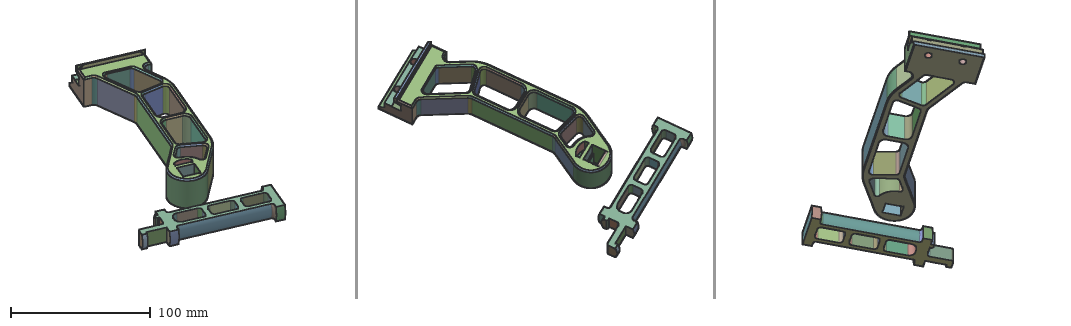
import cadquery as cq
import math

BEND_ANGLE = 30.0
SIN = math.sin(math.radians(BEND_ANGLE))
COS = math.cos(math.radians(BEND_ANGLE))

FRAME_HEIGHT = 25.5
TOP_CHAMFER = 1.3
BOTTOM_CHAMFER = 0.6

SPAN_CENTRE_X = 93.8
SPAN_TOP_Y = 31.3
SPAN_BOTTOM_Y = 0.8
UPPER_BEND_RADIUS = 27.5
LOWER_BEND_RADIUS = 5.5

HEAD_X = 157.8
HEAD_Y = 0.8
HEAD_RADIUS = 15.0

WALL = 4.5
RIB = 3.5
WINDOW_RADIUS = 3.0
RIB_WINDOW_RADIUS = 4.6
HEAD_WINDOW_RADIUS = 2.1
PLATE_FILLET = 3.8

PLATE_HALF_WIDTH = 26.2
PLATE_RIGHT_X = 27.5
FIRST_WINDOW_X = 26.8
GROOVE_WALL_X = 18.2
LEDGE_X = 10.5
SEAT_X = 4.9
SEAT_HEIGHT = 13.3
LEDGE_DROP = 0.5
TOE_HEIGHT = 3.5
TOE_TOP = 7.0
HOOK_LEFT_X = 12.5
HOOK_TIP_X = 15.0
HOOK_RIGHT_X = 16.0
HOOK_TOP = 29.0
HOOK_SHOULDER = 26.8
HOOK_UNDERSIDE = 22.2
GROOVE_TOP = 20.3
SCREW_HOLE_DIAMETER = 5.0
SCREW_HOLE_X = 7.8
SCREW_HOLES_Y = 0.8
SCREW_HOLE_HALF_PITCH = 12.7

OPENING_HALF_WIDTH = 6.8
SLOT_ARC_RADIUS = 10.8
SLOT_RIGHT_X = 152.3
SQUARE_LEFT_X = 155.3
SQUARE_LEDGE = 1.3
SQUARE_RIGHT_X = 165.7
SQUARE_LIP_RADIUS = 2.1
OPENING_DEPTH = 12.7

CLIP_X = 196.5
CLIP_HEIGHT = 12.9
CLIP_TOP_Y = 55.4
UPPER_FLANGE_BOTTOM_Y = 48.4
LOWER_FLANGE_TOP_Y = -26.8
LOWER_FLANGE_BOTTOM_Y = -33.8
FLANGE_LEFT_X = 182.1
FLANGE_RIGHT_X = 211.3
FLANGE_BULGE = 1.0
SHANK_HALF_WIDTH = 10.5
SHANK_BULGE = 1.7
SHANK_FILLET = 2.0
CLIP_WINDOW_HALF_WIDTH = 5.7
CLIP_WINDOW_RADIUS = 2.5
CLIP_WINDOW_END_RADIUS = 4.6
CLIP_WINDOWS = [
    (28.0, 48.8, CLIP_WINDOW_RADIUS),
    (2.5, 23.5, CLIP_WINDOW_RADIUS),
    (-25.0, -2.0, CLIP_WINDOW_END_RADIUS),
]
KNOB_RIGHT_X = 191.0
KNOB_BOTTOM_Y = -36.3
KNOB_CHAMFER = 1.0
LEG_LEFT_X = 199.5
LEG_RIGHT_X = 204.5
LEG_ROOT_FILLET = 2.1
LEG_CORNER_FILLET = 1.7
FOOT_TOP_Y = -49.7
FOOT_BOTTOM_Y = -53.7
FOOT_RIGHT_X = 208.1


EDGE_REACH = 0.1


def offset(line, distance):
    """The parallel line that lies `distance` to the left of the line's direction."""
    (x, y), (dx, dy) = line
    length = math.hypot(dx, dy)
    return ((x - dy / length * distance, y + dx / length * distance), (dx, dy))


def meet(first, second):
    """The point where two lines cross."""
    (x1, y1), (dx1, dy1) = first
    (x2, y2), (dx2, dy2) = second
    t = ((x2 - x1) * dy2 - (y2 - y1) * dx2) / (dx1 * dy2 - dy1 * dx2)
    return (x1 + t * dx1, y1 + t * dy1)


def mirrored(line):
    """The line reflected in the middle of the span."""
    (x, y), (dx, dy) = line
    return ((2 * SPAN_CENTRE_X - x, y), (-dx, dy))


TOP_LINE = ((0, SPAN_TOP_Y), (1, 0))
BOTTOM_LINE = ((0, SPAN_BOTTOM_Y), (1, 0))
HEAD_UPPER_TANGENT = (HEAD_X + HEAD_RADIUS * SIN, HEAD_Y + HEAD_RADIUS * COS)
HEAD_LOWER_TANGENT = (HEAD_X - HEAD_RADIUS * SIN, HEAD_Y - HEAD_RADIUS * COS)
RIGHT_UPPER_LINE = (HEAD_UPPER_TANGENT, (COS, -SIN))
RIGHT_LOWER_LINE = (HEAD_LOWER_TANGENT, (COS, -SIN))
LEFT_UPPER_LINE = mirrored(RIGHT_UPPER_LINE)
LEFT_LOWER_LINE = mirrored(RIGHT_LOWER_LINE)

UPPER_RIGHT_BEND = meet(TOP_LINE, RIGHT_UPPER_LINE)
LOWER_RIGHT_BEND = meet(BOTTOM_LINE, RIGHT_LOWER_LINE)
UPPER_LEFT_BEND = meet(TOP_LINE, LEFT_UPPER_LINE)
LOWER_LEFT_BEND = meet(BOTTOM_LINE, LEFT_LOWER_LINE)


def vertical_line(x):
    return ((x, 0), (0, 1))


def fillet_at(solid, points, radius):
    """Round the upright edges that stand on the given plan points."""
    for x, y in points:
        near = cq.selectors.BoxSelector(
            (x - EDGE_REACH, y - EDGE_REACH, 0), (x + EDGE_REACH, y + EDGE_REACH, FRAME_HEIGHT)
        )
        solid = solid.edges("|Z").edges(near).fillet(radius)
    return solid


def box_between(x_range, y_range, z_range):
    (x0, x1), (y0, y1), (z0, z1) = x_range, y_range, z_range
    return cq.Workplane("XY").box(x1 - x0, y1 - y0, z1 - z0, centered=False).translate((x0, y0, z0))


def frame_blank():
    """Arm outline and the thick part of the plate, before the windows are cut."""
    upper_root = meet(LEFT_UPPER_LINE, vertical_line(PLATE_RIGHT_X))
    lower_root = meet(LEFT_LOWER_LINE, vertical_line(PLATE_RIGHT_X))
    blank = (
        cq.Workplane("XY")
        .moveTo(GROOVE_WALL_X, -PLATE_HALF_WIDTH)
        .lineTo(PLATE_RIGHT_X, -PLATE_HALF_WIDTH)
        .lineTo(*lower_root)
        .lineTo(*LOWER_LEFT_BEND)
        .lineTo(*LOWER_RIGHT_BEND)
        .lineTo(*HEAD_LOWER_TANGENT)
        .threePointArc((HEAD_X + HEAD_RADIUS * COS, HEAD_Y - HEAD_RADIUS * SIN), HEAD_UPPER_TANGENT)
        .lineTo(*UPPER_RIGHT_BEND)
        .lineTo(*UPPER_LEFT_BEND)
        .lineTo(*upper_root)
        .lineTo(PLATE_RIGHT_X, PLATE_HALF_WIDTH)
        .lineTo(GROOVE_WALL_X, PLATE_HALF_WIDTH)
        .close()
        .extrude(FRAME_HEIGHT)
    )
    blank = fillet_at(blank, [upper_root, lower_root], PLATE_FILLET)
    blank = fillet_at(blank, [LOWER_LEFT_BEND, LOWER_RIGHT_BEND], LOWER_BEND_RADIUS)
    return fillet_at(blank, [UPPER_LEFT_BEND, UPPER_RIGHT_BEND], UPPER_BEND_RADIUS)


def window_prism(corners):
    return cq.Workplane("XY").polyline(corners).close().extrude(FRAME_HEIGHT)


def frame_windows():
    """The four through windows of the arm, each a prism to be cut out."""
    inner_top = offset(TOP_LINE, -WALL)
    inner_bottom = offset(BOTTOM_LINE, WALL)
    right_upper = offset(RIGHT_UPPER_LINE, -WALL)
    right_lower = offset(RIGHT_LOWER_LINE, WALL)
    left_upper = mirrored(right_upper)
    left_lower = mirrored(right_lower)
    plate_side = vertical_line(FIRST_WINDOW_X)
    middle_rib_side = vertical_line(SPAN_CENTRE_X - RIB / 2)

    left_rib_direction = (UPPER_LEFT_BEND[0] - LOWER_LEFT_BEND[0], SPAN_TOP_Y - SPAN_BOTTOM_Y)
    left_rib = (LOWER_LEFT_BEND, left_rib_direction)
    left_rib_outer = offset(left_rib, RIB / 2)
    left_rib_inner = offset(left_rib, -RIB / 2)
    right_rib_outer = mirrored(left_rib_outer)

    plate_window = window_prism([
        meet(plate_side, left_lower),
        meet(plate_side, left_upper),
        meet(left_rib_outer, left_upper),
        meet(left_rib_outer, left_lower),
    ]).edges("|Z").fillet(WINDOW_RADIUS)

    left_rib_corners = [meet(left_rib_inner, inner_bottom), meet(left_rib_inner, inner_top)]
    middle_rib_corners = [meet(middle_rib_side, inner_top), meet(middle_rib_side, inner_bottom)]
    left_window = window_prism(left_rib_corners + middle_rib_corners)
    left_window = fillet_at(left_window, left_rib_corners, WINDOW_RADIUS)
    left_window = fillet_at(left_window, middle_rib_corners, RIB_WINDOW_RADIUS)
    right_window = left_window.mirror("YZ", (SPAN_CENTRE_X, 0, 0))

    right_rib_corners = [meet(right_rib_outer, right_lower), meet(right_rib_outer, right_upper)]
    head_axis = vertical_line(HEAD_X)
    head_corners = [meet(head_axis, right_upper), meet(head_axis, right_lower)]
    head_disc = cq.Workplane("XY").center(HEAD_X, HEAD_Y).circle(HEAD_RADIUS).extrude(FRAME_HEIGHT)
    head_window = window_prism(right_rib_corners + head_corners).cut(head_disc)
    head_window = fillet_at(head_window, right_rib_corners, WINDOW_RADIUS)
    head_side = cq.selectors.BoxSelector(
        (HEAD_X - HEAD_RADIUS, HEAD_Y - HEAD_RADIUS, 0), (HEAD_X, HEAD_Y + HEAD_RADIUS, FRAME_HEIGHT)
    )
    head_window = head_window.edges("|Z").edges(head_side).fillet(HEAD_WINDOW_RADIUS)
    return [plate_window, left_window, right_window, head_window]


def frame():
    """Windowed arm with its upper edges and outer lower edges chamfered.

    The edges on the joint with the rail clamp, at the lowest X, stay sharp, and so does
    the plate side of the first window.
    """
    body = frame_blank().faces("<Z").edges("not <X").chamfer(BOTTOM_CHAMFER)
    for opening in frame_windows():
        body = body.cut(opening)
    sharp_window_side = cq.selectors.BoxSelector(
        (FIRST_WINDOW_X - EDGE_REACH, -PLATE_HALF_WIDTH, 0),
        (FIRST_WINDOW_X + EDGE_REACH, PLATE_HALF_WIDTH, FRAME_HEIGHT + EDGE_REACH),
    )
    free_edges = cq.selectors.StringSyntaxSelector("not <X")
    chamfered = cq.selectors.SubtractSelector(free_edges, sharp_window_side)
    return body.faces(">Z").edges(chamfered).chamfer(TOP_CHAMFER)


def rail_clamp():
    """Rail-shaped front of the plate, with its hook and stepped seat."""
    clamp = (
        cq.Workplane("XZ", origin=(0, PLATE_HALF_WIDTH, 0))
        .polyline([
            (0, 0),
            (0, TOE_HEIGHT),
            (SEAT_X, TOE_TOP),
            (SEAT_X, SEAT_HEIGHT),
            (LEDGE_X, SEAT_HEIGHT),
            (LEDGE_X, SEAT_HEIGHT - LEDGE_DROP),
            (GROOVE_WALL_X, SEAT_HEIGHT - LEDGE_DROP),
            (GROOVE_WALL_X, GROOVE_TOP),
            (HOOK_LEFT_X, HOOK_UNDERSIDE),
            (HOOK_LEFT_X, HOOK_SHOULDER),
            (HOOK_TIP_X, HOOK_TOP),
            (HOOK_RIGHT_X, HOOK_TOP),
            (HOOK_RIGHT_X, FRAME_HEIGHT),
            (PLATE_RIGHT_X - TOP_CHAMFER, FRAME_HEIGHT),
            (PLATE_RIGHT_X - TOP_CHAMFER, 0),
        ])
        .close()
        .extrude(2 * PLATE_HALF_WIDTH)
    )
    chamfer_rise = HOOK_TOP - FRAME_HEIGHT + TOP_CHAMFER
    top_wedge = (
        cq.Workplane("YZ", origin=(HOOK_TIP_X, 0, 0))
        .polyline([
            (PLATE_HALF_WIDTH, FRAME_HEIGHT - TOP_CHAMFER),
            (PLATE_HALF_WIDTH, HOOK_TOP),
            (PLATE_HALF_WIDTH - chamfer_rise, HOOK_TOP),
        ])
        .close()
        .extrude(PLATE_RIGHT_X - HOOK_TIP_X)
    )
    bottom_wedge = (
        cq.Workplane("YZ")
        .polyline([
            (PLATE_HALF_WIDTH, 0),
            (PLATE_HALF_WIDTH, BOTTOM_CHAMFER),
            (PLATE_HALF_WIDTH - BOTTOM_CHAMFER, 0),
        ])
        .close()
        .extrude(PLATE_RIGHT_X)
    )
    for wedge in (top_wedge, bottom_wedge):
        clamp = clamp.cut(wedge).cut(wedge.mirror("XZ"))
    return clamp


def screw_holes():
    return (
        cq.Workplane("XY")
        .pushPoints([(SCREW_HOLE_X, SCREW_HOLES_Y + side * SCREW_HOLE_HALF_PITCH) for side in (-1, 1)])
        .circle(SCREW_HOLE_DIAMETER / 2)
        .extrude(HOOK_TOP)
    )


def head_openings():
    """Blind slot with a curved side, and a square through hole with a ledge and a rounded lip."""
    y_range = (HEAD_Y - OPENING_HALF_WIDTH, HEAD_Y + OPENING_HALF_WIDTH)
    floor = FRAME_HEIGHT - OPENING_DEPTH
    slot_end_x = HEAD_X - math.sqrt(SLOT_ARC_RADIUS**2 - OPENING_HALF_WIDTH**2)
    slot = (
        cq.Workplane("XY", origin=(0, 0, floor))
        .moveTo(SLOT_RIGHT_X, y_range[0])
        .lineTo(SLOT_RIGHT_X, y_range[1])
        .lineTo(slot_end_x, y_range[1])
        .threePointArc((HEAD_X - SLOT_ARC_RADIUS, HEAD_Y), (slot_end_x, y_range[0]))
        .close()
        .extrude(OPENING_DEPTH)
    )
    through = box_between((SQUARE_LEFT_X + SQUARE_LEDGE, SQUARE_RIGHT_X), y_range, (0, FRAME_HEIGHT))
    recess = box_between((SQUARE_LEFT_X, SQUARE_RIGHT_X), y_range, (floor, FRAME_HEIGHT))
    lip_start = FRAME_HEIGHT - SQUARE_LIP_RADIUS
    lip_middle = SQUARE_LIP_RADIUS * (1 - math.sqrt(0.5))
    lip = (
        cq.Workplane("XZ", origin=(0, y_range[1], 0))
        .moveTo(SQUARE_RIGHT_X, lip_start)
        .threePointArc(
            (SQUARE_RIGHT_X + lip_middle, FRAME_HEIGHT - lip_middle),
            (SQUARE_RIGHT_X + SQUARE_LIP_RADIUS, FRAME_HEIGHT),
        )
        .lineTo(SQUARE_RIGHT_X, FRAME_HEIGHT)
        .close()
        .extrude(2 * OPENING_HALF_WIDTH)
    )
    return [slot, through, recess, lip]


def make_bracket():
    body = frame().union(rail_clamp())
    body = body.cut(screw_holes())
    for opening in head_openings():
        body = body.cut(opening)
    return body


def bulged_bar(left_x, right_x, bottom_y, top_y, left_bulge, right_bulge):
    """A bar along Y whose sides bow outwards at half height by the given amounts."""
    middle = CLIP_HEIGHT / 2
    bar = cq.Workplane("XZ", origin=(0, top_y, 0)).moveTo(left_x + left_bulge, 0)
    bar = bar.lineTo(right_x - right_bulge, 0)
    if right_bulge:
        bar = bar.threePointArc((right_x, middle), (right_x - right_bulge, CLIP_HEIGHT))
    else:
        bar = bar.lineTo(right_x, CLIP_HEIGHT)
    bar = bar.lineTo(left_x + left_bulge, CLIP_HEIGHT)
    if left_bulge:
        bar = bar.threePointArc((left_x, middle), (left_x + left_bulge, 0))
    return bar.close().extrude(top_y - bottom_y)


def flange(bottom_y, top_y):
    return bulged_bar(FLANGE_LEFT_X, FLANGE_RIGHT_X, bottom_y, top_y, FLANGE_BULGE, FLANGE_BULGE)


def shank():
    left_x = CLIP_X - SHANK_HALF_WIDTH
    right_x = CLIP_X + SHANK_HALF_WIDTH
    return bulged_bar(left_x, right_x, LOWER_FLANGE_TOP_Y, UPPER_FLANGE_BOTTOM_Y, SHANK_BULGE, SHANK_BULGE)


def round_shank_roots(body):
    """Fillet the bowed edges where the shank sides meet the two flanges."""
    left_x = CLIP_X - SHANK_HALF_WIDTH - EDGE_REACH
    right_x = CLIP_X + SHANK_HALF_WIDTH + EDGE_REACH
    for y in (UPPER_FLANGE_BOTTOM_Y, LOWER_FLANGE_TOP_Y):
        roots = cq.selectors.BoxSelector(
            (left_x, y - EDGE_REACH, EDGE_REACH), (right_x, y + EDGE_REACH, CLIP_HEIGHT - EDGE_REACH)
        )
        body = body.edges(roots).fillet(SHANK_FILLET)
    return body


def clip_window(bottom_y, top_y, lower_radius):
    x_range = (CLIP_X - CLIP_WINDOW_HALF_WIDTH, CLIP_X + CLIP_WINDOW_HALF_WIDTH)
    opening = box_between(x_range, (bottom_y, top_y), (0, CLIP_HEIGHT))
    opening = opening.edges("|Z and >Y").fillet(CLIP_WINDOW_RADIUS)
    return opening.edges("|Z and <Y").fillet(lower_radius)


def knob():
    left_x = CLIP_X - SHANK_HALF_WIDTH
    bar = bulged_bar(left_x, KNOB_RIGHT_X, KNOB_BOTTOM_Y, LOWER_FLANGE_BOTTOM_Y, SHANK_BULGE, 0)
    return bar.edges("|Z and >X and <Y").chamfer(KNOB_CHAMFER)


def leg():
    """Hooked leg below the lower flange, with a rounded outer corner and root."""
    stem = box_between(
        (LEG_LEFT_X, LEG_RIGHT_X), (FOOT_BOTTOM_Y, LOWER_FLANGE_BOTTOM_Y), (0, CLIP_HEIGHT)
    )
    foot = bulged_bar(LEG_RIGHT_X, FOOT_RIGHT_X, FOOT_BOTTOM_Y, FOOT_TOP_Y, 0, SHANK_BULGE)
    root_x = LEG_LEFT_X - LEG_ROOT_FILLET
    root_y = LOWER_FLANGE_BOTTOM_Y - LEG_ROOT_FILLET
    root = box_between((root_x, LEG_LEFT_X), (root_y, LOWER_FLANGE_BOTTOM_Y), (0, CLIP_HEIGHT)).cut(
        cq.Workplane("XY").center(root_x, root_y).circle(LEG_ROOT_FILLET).extrude(CLIP_HEIGHT)
    )
    stem = stem.edges("|Z and <X and <Y").fillet(LEG_CORNER_FILLET)
    return stem.union(foot).union(root)


def make_clip():
    body = shank()
    body = body.union(flange(UPPER_FLANGE_BOTTOM_Y, CLIP_TOP_Y))
    body = body.union(flange(LOWER_FLANGE_BOTTOM_Y, LOWER_FLANGE_TOP_Y))
    body = round_shank_roots(body)
    body = body.union(knob()).union(leg())
    for bottom_y, top_y, lower_radius in CLIP_WINDOWS:
        body = body.cut(clip_window(bottom_y, top_y, lower_radius))
    return body


bracket = make_bracket()
clip = make_clip()
result = cq.Compound.makeCompound([bracket.val(), clip.val()])